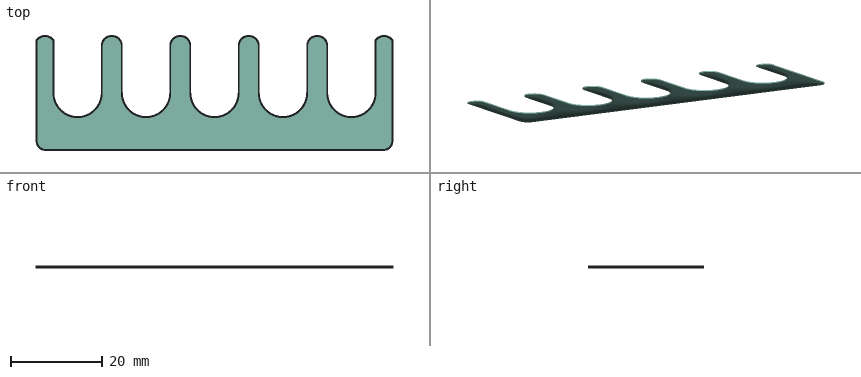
import cadquery as cq
import math

length = 78.0
width = 25.0
thickness = 0.25
base_corner_radius = 2.0

slot_count = 5
slot_width = 10.5
slot_radius = slot_width / 2
slot_floor = 7.25
end_tine_width = 3.75
slot_pitch = (length - 2 * end_tine_width - slot_width) / (slot_count - 1)

tip_radius = (slot_pitch - slot_width) / 2

left = -length / 2
right = length / 2
top = width / 2
bottom = -width / 2
slot_bottom = bottom + slot_floor
slot_arc_start = slot_bottom + slot_radius


def add_tip(outline, x_start, x_end):
    """Run up the left side of a tine and over its rounded tip."""
    half_width = (x_end - x_start) / 2
    arc_height = tip_radius - math.sqrt(max(0, tip_radius**2 - half_width**2))
    shoulder = top - arc_height
    outline = outline.lineTo(x_start, shoulder)
    return outline.threePointArc((x_start + half_width, top), (x_end, shoulder))


def add_slot_bottom(outline, x_start, x_end):
    """Run down the left side of a slot and round its bottom."""
    outline = outline.lineTo(x_start, slot_arc_start)
    return outline.threePointArc((x_start + slot_radius, slot_bottom), (x_end, slot_arc_start))


outline = cq.Workplane("XY", origin=(0, 0, -thickness / 2)).moveTo(left, bottom)
tine_left = left
for index in range(slot_count):
    slot_left = left + end_tine_width + index * slot_pitch
    slot_right = slot_left + slot_width
    outline = add_tip(outline, tine_left, slot_left)
    outline = add_slot_bottom(outline, slot_left, slot_right)
    tine_left = slot_right
outline = add_tip(outline, tine_left, right).lineTo(right, bottom).close()

plate = outline.extrude(thickness)
result = plate.faces("<Y").edges("|Z").fillet(base_corner_radius)